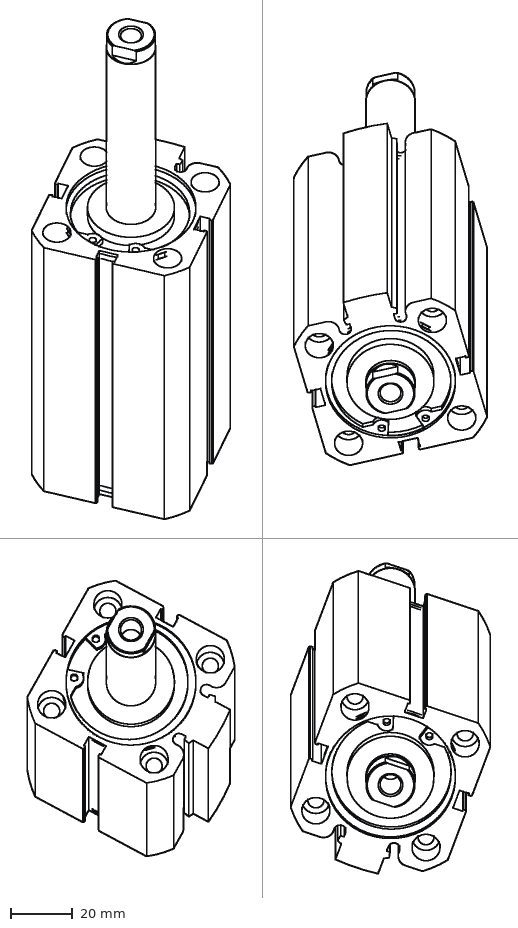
import cadquery as cq
import math


body_width = 54.0
body_height = 108.5
half_width = body_width / 2
corner_radius = 34.0
bore_radius = 21.0

mount_offset = 19.0
mount_hole_diameter = 5.2
counterbore_diameter = 9.0
counterbore_depth = 10.0

slot_mouth_width = 5.2
slot_inner_width = 6.4
slot_depth = 4.5
slot_chamfer = 0.4
slot_lip = 1.2

rail_half_width = 7.3
rail_top = 33.0
rail_edge_drop = 0.4
hook_tip_x = 8.9
hook_tip_y = 26.2
hook_root_x = 8.5
hook_root_y = 24.3
groove_outer_x = 11.2
groove_floor_y = 20.8
groove_mouth_radius = 3.5

ring_recess = 1.5
ring_thickness = 2.1
ring_outer_radius = 22.4
ring_inner_radius = 19.3
ring_inner_shift = 1.0
lug_x = 7.3
lug_y = -17.0
lug_radius = 3.0
lug_hole_diameter = 2.3
lug_shoulder_y = -15.0
gap_slope = 0.3

cover_recess = ring_recess + ring_thickness
cover_thickness = 11.5
boss_radius = 14.0

rod_diameter = 16.0
rod_above = 77.0
rod_below = 7.5
rod_length = rod_below + body_height + rod_above
rod_chamfer = 0.4
neck_diameter = 15.8
neck_length = 5.8
flat_width = 13.5
flat_length = 4.5
thread_hole_diameter = 6.8
thread_hole_depth = 15.0
thread_hole_chamfer = 0.5
drill_point_angle = 118.0


def mirrored_to_bottom(top_part):
    """Copy of a part at the top end, mirrored to the bottom end of the housing."""
    return top_part.mirror("XY").translate((0, 0, body_height))


def cylinder(radius, bottom, height):
    return cq.Workplane("XY").workplane(offset=bottom).circle(radius).extrude(height)


def at_mount_points():
    pitch = 2 * mount_offset
    return cq.Workplane("XY").rect(pitch, pitch, forConstruction=True).vertices()


def side_slot():
    """Cutter for the undercut slot on the -Y side: narrow mouth, wider inside, chamfered mouth edges."""
    mouth = cq.Workplane("XY").box(slot_mouth_width, slot_depth, body_height, centered=(True, False, False))
    inner_depth = slot_depth - slot_lip
    inner = cq.Workplane("XY").box(slot_inner_width, inner_depth, body_height, centered=(True, False, False))
    flare_half_width = slot_mouth_width / 2 + slot_chamfer
    flare = (
        cq.Workplane("XY")
        .polyline([(-flare_half_width, 0), (flare_half_width, 0), (0, flare_half_width)])
        .close()
        .extrude(body_height)
    )
    slot = mouth.union(inner.translate((0, slot_lip, 0))).union(flare)
    return slot.translate((0, -half_width, 0))


def sensor_groove():
    """Cutter for the round-bottomed groove on the +X side of the rail, with a flared mouth under a hooked lip."""
    floor_radius = (groove_outer_x - rail_half_width) / 2
    floor_centre_x = rail_half_width + floor_radius
    floor_centre_y = groove_floor_y + floor_radius
    mouth_x = groove_outer_x + groove_mouth_radius
    mouth_y = half_width - groove_mouth_radius
    diagonal = groove_mouth_radius * math.sqrt(0.5)
    return (
        cq.Workplane("XY")
        .moveTo(rail_half_width, rail_top)
        .lineTo(rail_half_width, half_width)
        .lineTo(hook_tip_x, hook_tip_y)
        .lineTo(hook_root_x, hook_root_y)
        .lineTo(rail_half_width, hook_root_y)
        .lineTo(rail_half_width, floor_centre_y)
        .threePointArc((floor_centre_x, groove_floor_y), (groove_outer_x, floor_centre_y))
        .lineTo(groove_outer_x, mouth_y)
        .threePointArc((mouth_x - diagonal, mouth_y + diagonal), (mouth_x, half_width))
        .lineTo(mouth_x, rail_top)
        .close()
        .extrude(body_height)
    )


def make_housing():
    body = cq.Workplane("XY").rect(body_width, body_width).extrude(body_height)
    body = body.intersect(cylinder(corner_radius, 0, body_height))
    rail_edge_y = rail_top - rail_edge_drop
    rail = (
        cq.Workplane("XY")
        .moveTo(-rail_half_width, 0)
        .lineTo(-rail_half_width, rail_edge_y)
        .threePointArc((0, rail_top), (rail_half_width, rail_edge_y))
        .lineTo(rail_half_width, 0)
        .close()
        .extrude(body_height)
    )
    body = body.union(rail)

    groove = sensor_groove()
    body = body.cut(groove).cut(groove.mirror("YZ"))
    for turn in (-90, 0, 90):
        body = body.cut(side_slot().rotate((0, 0, 0), (0, 0, 1), turn))

    body = body.cut(cylinder(bore_radius, 0, body_height))
    ring_seat = cylinder(ring_outer_radius, body_height - cover_recess, ring_thickness)
    body = body.cut(ring_seat).cut(mirrored_to_bottom(ring_seat))

    body = body.cut(at_mount_points().circle(mount_hole_diameter / 2).extrude(body_height))
    bottom_counterbores = at_mount_points().circle(counterbore_diameter / 2).extrude(counterbore_depth)
    return body.cut(bottom_counterbores).cut(mirrored_to_bottom(bottom_counterbores))


def make_cover():
    """Top end cover; its central boss ends level with the end of the housing."""
    cover_top = body_height - cover_recess
    plate = cylinder(bore_radius, cover_top - cover_thickness, cover_thickness)
    boss = cylinder(boss_radius, cover_top, cover_recess)
    return plate.union(boss).cut(cylinder(rod_diameter / 2, 0, body_height))


def make_ring():
    """Top retaining ring: eccentric opening, with two drilled lugs beside a wedge-shaped gap."""
    disc = cq.Workplane("XY").circle(ring_outer_radius).extrude(ring_thickness)
    opening = cq.Workplane("XY").center(0, -ring_inner_shift).circle(ring_inner_radius).extrude(ring_thickness)
    ring = disc.cut(opening)

    below_shoulder = cq.Workplane("XY").box(
        2 * ring_outer_radius, ring_outer_radius, ring_thickness, centered=(True, False, False)
    )
    below_shoulder = below_shoulder.translate((0, lug_shoulder_y - ring_outer_radius, 0))
    ring = ring.union(disc.intersect(below_shoulder))

    lug_points = [(-lug_x, lug_y), (lug_x, lug_y)]
    lugs = cq.Workplane("XY").pushPoints(lug_points).circle(lug_radius).extrude(ring_thickness)
    ring = ring.union(lugs)
    lug_holes = cq.Workplane("XY").pushPoints(lug_points).circle(lug_hole_diameter / 2).extrude(ring_thickness)
    ring = ring.cut(lug_holes)

    gap_reach = 2 * ring_outer_radius
    gap_spread = gap_slope * gap_reach
    gap = (
        cq.Workplane("XY")
        .polyline([(0, 0), (-gap_spread, -gap_reach), (gap_spread, -gap_reach)])
        .close()
        .extrude(ring_thickness)
    )
    return ring.cut(gap).translate((0, 0, body_height - cover_recess))


def wrench_flat(end):
    """Cutter for the -Y flat at the rod's upper end, running out in a 45 degree slope."""
    radius = neck_diameter / 2
    flat_y = flat_width / 2
    outer_y = 2 * radius
    flat_end = end - flat_length
    slope_end = flat_end - (outer_y - flat_y)
    return (
        cq.Workplane("YZ")
        .polyline([(-flat_y, end), (-flat_y, flat_end), (-outer_y, slope_end), (-outer_y, end)])
        .close()
        .extrude(radius, both=True)
    )


def threaded_hole(end):
    """Cutter for the chamfered blind hole in the rod's upper end, with a drill-point bottom."""
    radius = thread_hole_diameter / 2
    point = radius / math.tan(math.radians(drill_point_angle / 2))
    return (
        cq.Workplane("XZ")
        .polyline([(0, end), (radius + thread_hole_chamfer, end), (radius, end - thread_hole_chamfer),
                   (radius, end - thread_hole_depth), (0, end - thread_hole_depth - point)])
        .close()
        .revolve(360, (0, 0), (0, 1))
    )


def make_rod():
    """Rod through both covers; both necked ends carry the same flats and threaded hole."""
    half = rod_length / 2
    rod = cylinder(neck_diameter / 2, -half, rod_length).edges().chamfer(rod_chamfer)
    barrel_length = rod_length - 2 * neck_length
    rod = rod.union(cylinder(rod_diameter / 2, -barrel_length / 2, barrel_length))
    flat = wrench_flat(half)
    end_cutter = flat.union(flat.mirror("XZ")).union(threaded_hole(half))
    rod = rod.cut(end_cutter).cut(end_cutter.mirror("XY"))
    return rod.translate((0, 0, half - rod_below))


housing = make_housing()
top_cover = make_cover()
top_ring = make_ring()
rod = make_rod()
bodies = [housing.val(), rod.val()]
for end_part in (top_cover, top_ring):
    bodies.append(end_part.val())
    bodies.append(mirrored_to_bottom(end_part).val())

result = cq.Compound.makeCompound(bodies)